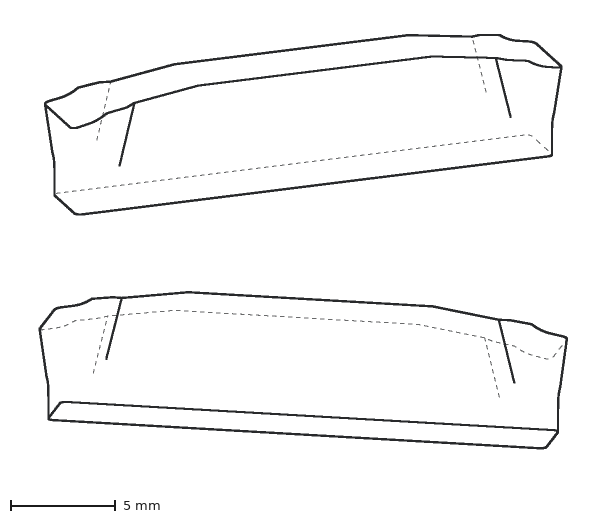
import cadquery as cq

length = 25.0
height = 5.8
body_width = 3.25
half_length = length / 2
half_body = body_width / 2

edge_height = 4.53
foot_depth = 0.35
foot_height = 1.65
clearance_depth = 0.28
clearance_height = 2.18
clearance_blend_depth = 0.33
clearance_blend_height = 1.9
land_depth = 0.78
land_height = 4.68
breaker_depth = 1.3
breaker_height = 4.83
crest_depth = 1.78
crest_height = 5.1
crest_radius = 0.13
ramp_depth = 6.55

head_width = 4.03
head_half_width = head_width / 2
flare_start_depth = 0.6
flare_start_height = 1.03
neck_depth = 2.55
neck_height = 2.25
flank_top_depth = 3.3
flank_top_height = 5.3
shoulder_depth = 2.75
shoulder_height = 5.25
shoulder_flat = 0.1
shoulder_drop = 0.03
head_overrun = 0.25
selection_margin = 0.03
corner_radius = 0.3

flare_line_slope = (neck_height - flare_start_height) / (neck_depth - flare_start_depth)
flare_rise_at_edge = edge_height - flare_start_height + flare_line_slope * flare_start_depth
flare_rate = (head_half_width - half_body) / flare_rise_at_edge


def flare_line_height(depth):
    return flare_start_height + flare_line_slope * (depth - flare_start_depth)


def flare_x(depth, z):
    return half_body + flare_rate * (z - flare_line_height(depth))


def make_profile(width):
    """Lengthwise outline of the insert, extruded symmetrically about X = 0."""

    def front(depth, z):
        return (depth - half_length, z)

    def back(depth, z):
        return (half_length - depth, z)

    profile = (
        cq.Workplane("YZ")
        .moveTo(*front(foot_depth, 0))
        .lineTo(*front(foot_depth, foot_height))
        .threePointArc(
            front(clearance_blend_depth, clearance_blend_height),
            front(clearance_depth, clearance_height),
        )
        .lineTo(*front(0, edge_height))
        .lineTo(*front(land_depth, land_height))
        .threePointArc(front(breaker_depth, breaker_height), front(crest_depth, crest_height))
        .lineTo(*front(ramp_depth, height))
        .lineTo(*back(ramp_depth, height))
        .lineTo(*back(crest_depth, crest_height))
        .threePointArc(back(breaker_depth, breaker_height), back(land_depth, land_height))
        .lineTo(*back(0, edge_height))
        .lineTo(*back(clearance_depth, clearance_height))
        .threePointArc(
            back(clearance_blend_depth, clearance_blend_height),
            back(foot_depth, foot_height),
        )
        .lineTo(*back(foot_depth, 0))
        .close()
        .extrude(width / 2, both=True)
    )
    crest_span = length - 2 * crest_depth
    crests = cq.selectors.BoxSelector(
        (-width, -crest_span / 2 - crest_radius, crest_height - crest_radius),
        (width, crest_span / 2 + crest_radius, crest_height + crest_radius),
    )
    return profile.edges("|X").edges(crests).fillet(crest_radius)


def make_polyhedron(faces):
    """Solid bounded by planar faces, each given as a list of corners."""
    face_shapes = [cq.Face.makeFromWires(cq.Wire.makePolygon(face, close=True)) for face in faces]
    return cq.Workplane(cq.Solid.makeSolid(cq.Shell.makeShell(face_shapes)))


def make_flare():
    """Side swelling of one head on +X at the -Y end, overrunning the profile."""
    top = height + head_overrun

    def point(x, depth, z):
        return cq.Vector(x, depth - half_length, z)

    def depth_at_top(depth, z):
        """Extend the line from the neck through (depth, z) up to the top."""
        return neck_depth + (depth - neck_depth) * (top - neck_height) / (z - neck_height)

    outer_depth = depth_at_top(shoulder_depth, shoulder_height)
    inner_depth = depth_at_top(shoulder_depth + shoulder_flat, shoulder_height)
    flank_depth = depth_at_top(flank_top_depth, flank_top_height)
    end_depth = -head_overrun
    neck = point(half_body, neck_depth, neck_height)
    low_end = point(half_body, end_depth, flare_line_height(end_depth))
    root_end = point(half_body, end_depth, top)
    wide_end = point(flare_x(end_depth, top), end_depth, top)
    outer = point(flare_x(outer_depth, top), outer_depth, top)
    inner = point(flare_x(inner_depth, top) - shoulder_drop, inner_depth, top)
    flank = point(half_body, flank_depth, top)
    return make_polyhedron([
        [low_end, neck, outer, wide_end],
        [neck, inner, outer],
        [neck, flank, inner],
        [low_end, root_end, flank, neck],
        [root_end, wide_end, outer, inner, flank],
        [low_end, wide_end, root_end],
    ])


one_flare = make_flare()
front_flares = one_flare.union(one_flare.mirror("YZ"))
flares = front_flares.union(front_flares.mirror("XZ"))
result = make_profile(body_width).union(make_profile(length).intersect(flares))

inner_x = half_body - selection_margin
outer_x = head_half_width + selection_margin
inner_y = half_length - foot_depth - selection_margin
outer_y = half_length + selection_margin
for x_sign in (-1, 1):
    for y_sign in (-1, 1):
        x_limits = sorted((x_sign * inner_x, x_sign * outer_x))
        y_limits = sorted((y_sign * inner_y, y_sign * outer_y))
        corner = cq.selectors.BoxSelector(
            (x_limits[0], y_limits[0], selection_margin),
            (x_limits[1], y_limits[1], edge_height - selection_margin),
        )
        result = result.edges(corner).fillet(corner_radius)